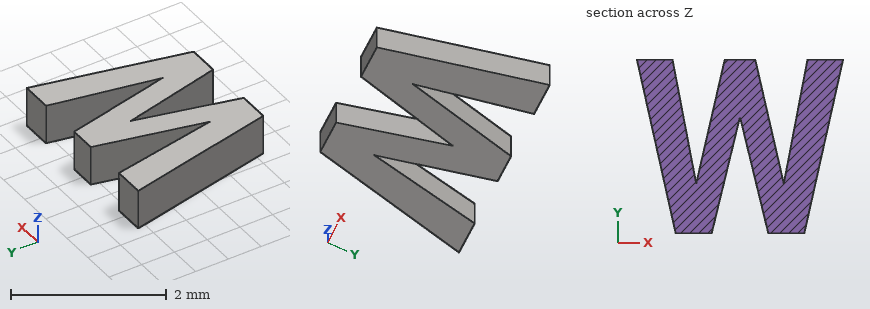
import cadquery as cq

top_width = 2.65
height = 2.23
thickness = 0.6

arm_top_width = 0.46
peak_width = 0.395
foot_width = 0.465
foot_gap = 0.725
valley_spacing = 1.125

valley_height = 0.645
crotch_height = 1.49

arm_outer_x = top_width / 2
arm_inner_x = arm_outer_x - arm_top_width
peak_x = peak_width / 2
valley_x = valley_spacing / 2
foot_inner_x = foot_gap / 2
foot_outer_x = foot_inner_x + foot_width


def letter_outline():
    """Right half of the W from centre crotch to peak, then its mirror image."""
    right_half = [
        (foot_inner_x, 0),
        (foot_outer_x, 0),
        (arm_outer_x, height),
        (arm_inner_x, height),
        (valley_x, valley_height),
        (peak_x, height),
    ]
    left_half = [(-x, y) for x, y in reversed(right_half)]
    return [(0, crotch_height)] + right_half + left_half


result = cq.Workplane("XY").polyline(letter_outline()).close().extrude(thickness)